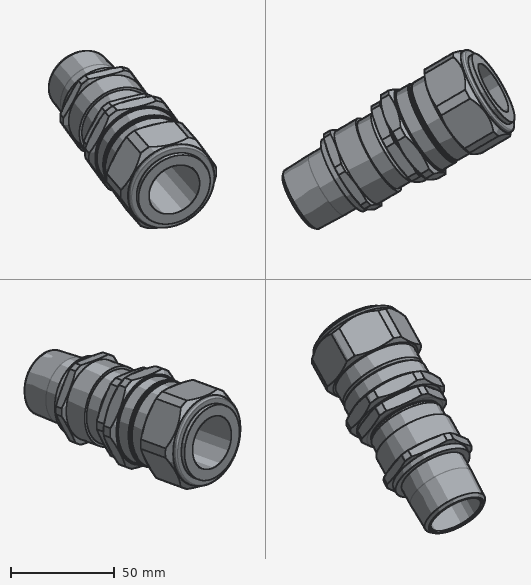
import cadquery as cq
import math


overall_length = 111.3

bore_radius = 13.4
bore_chamfer = 0.6

entry_chamfer = 1.5
taper_start_radius = 16.35
taper_end_radius = 16.85
taper_end = 16.15
collar_start = 25.3
collar_radius = 20.0

locknut_start = 28.2
locknut_end = 33.3
body_radius = 20.25
body_end = 45.6
spigot_radius = 18.9
spigot_end = 54.8
spigot_chamfer = 1.4
spigot_neck_radius = 18.2

small_hex_start = 55.4
small_hex_end = 61.6
large_hex_end = 69.2
ring_shoulder_end = 69.75
ring_shoulder_radius = 22.0
ring_radius = 21.9
ring_end = 77.0
ring_chamfer = 0.5
ring_groove_radius = 20.4
sleeve_start = 77.5
sleeve_radius = 21.55
sleeve_chamfer = 1.1

nut_start = 86.65
nut_hex_end = 107.2
nut_rim_radius = 22.6
nut_end = 109.1
nut_rim_rounding = 0.9
nut_rim_overlap = 5.0
tail_radius = 18.95

large_across_flats = 46.06
large_corner_radius = 25.29
small_across_flats = 41.4
small_corner_radius = 22.8
small_chamfer_angle = 15.0
large_chamfer_angle = 30.0
nut_rear_chamfer_angle = 45.0
large_chamfer_inset = 0.3
small_chamfer_inset = 0.3


def cylinder(start, end, radius):
    """Solid cylinder along X between two stations."""
    return cq.Workplane("YZ", origin=(start, 0, 0)).circle(radius).extrude(end - start)


def revolve_profile(profile):
    """Turn a closed (station, radius) profile about the X axis."""
    return profile.revolve(360, (0, 0, 0), (1, 0, 0))


def hexagon(start, end, across_flats, corner_radius, inset, front_angle, rear_angle):
    """Hexagonal section with rounded corners and conical chamfers at both ends."""
    face_radius = across_flats / 2 - inset
    chamfer_depth = corner_radius - face_radius
    front_length = chamfer_depth * math.tan(math.radians(front_angle))
    rear_length = chamfer_depth * math.tan(math.radians(rear_angle))
    corner_diameter = across_flats / math.cos(math.pi / 6)
    prism = (
        cq.Workplane("YZ", origin=(start, 0, 0))
        .polygon(6, corner_diameter)
        .extrude(end - start)
    )
    envelope = revolve_profile(
        cq.Workplane("XZ")
        .moveTo(start, 0)
        .lineTo(start, face_radius)
        .lineTo(start + front_length, corner_radius)
        .lineTo(end - rear_length, corner_radius)
        .lineTo(end, face_radius)
        .lineTo(end, 0)
        .close()
    )
    return prism.intersect(envelope)


def small_hexagon(start, end):
    return hexagon(
        start,
        end,
        small_across_flats,
        small_corner_radius,
        small_chamfer_inset,
        small_chamfer_angle,
        small_chamfer_angle,
    )


def large_hexagon(start, end, rear_angle):
    return hexagon(
        start,
        end,
        large_across_flats,
        large_corner_radius,
        large_chamfer_inset,
        large_chamfer_angle,
        rear_angle,
    )


def turned_body():
    """Round outline of the whole gland, without the hexagons."""
    return revolve_profile(
        cq.Workplane("XZ")
        .moveTo(0, 0)
        .lineTo(0, taper_start_radius - entry_chamfer)
        .lineTo(entry_chamfer, taper_start_radius)
        .lineTo(taper_end, taper_end_radius)
        .lineTo(collar_start, taper_end_radius)
        .lineTo(collar_start, collar_radius)
        .lineTo(locknut_start, collar_radius)
        .lineTo(locknut_start, body_radius)
        .lineTo(body_end, body_radius)
        .lineTo(body_end, spigot_radius)
        .lineTo(spigot_end - spigot_chamfer, spigot_radius)
        .lineTo(spigot_end, spigot_neck_radius)
        .lineTo(small_hex_end, spigot_neck_radius)
        .lineTo(small_hex_end, ring_shoulder_radius)
        .lineTo(ring_shoulder_end, ring_shoulder_radius)
        .lineTo(ring_shoulder_end, ring_radius)
        .lineTo(ring_end - ring_chamfer, ring_radius)
        .lineTo(ring_end, ring_radius - ring_chamfer)
        .lineTo(ring_end, ring_groove_radius)
        .lineTo(sleeve_start, ring_groove_radius)
        .lineTo(sleeve_start + sleeve_chamfer, sleeve_radius)
        .lineTo(nut_end, sleeve_radius)
        .lineTo(nut_end, tail_radius)
        .lineTo(overall_length, tail_radius)
        .lineTo(overall_length, 0)
        .close()
    )


def nut_rim():
    """Round rim closing the rear of the gland nut, with a rounded outer edge."""
    rim = cylinder(nut_hex_end - nut_rim_overlap, nut_end, nut_rim_radius)
    return rim.faces(">X").edges().fillet(nut_rim_rounding)


def bore():
    """Through bore with a chamfered mouth at the threaded end."""
    return revolve_profile(
        cq.Workplane("XZ")
        .moveTo(0, 0)
        .lineTo(0, bore_radius + bore_chamfer)
        .lineTo(bore_chamfer, bore_radius)
        .lineTo(overall_length, bore_radius)
        .lineTo(overall_length, 0)
        .close()
    )


result = (
    turned_body()
    .union(small_hexagon(locknut_start, locknut_end))
    .union(small_hexagon(small_hex_start, small_hex_end))
    .union(large_hexagon(small_hex_end, large_hex_end, large_chamfer_angle))
    .union(large_hexagon(nut_start, nut_hex_end, nut_rear_chamfer_angle))
    .union(nut_rim())
    .cut(bore())
)